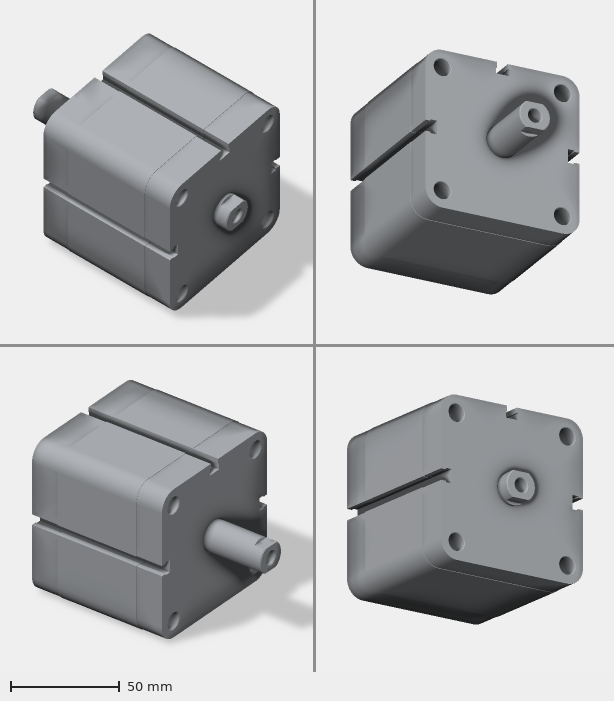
import cadquery as cq
import math

overall_length = 115.0
cap_length = 14.7
barrel_length = 45.5
front_rod_projection = 32.5

rod_start = -overall_length / 2
front_cap_start = rod_start + front_rod_projection
barrel_start = front_cap_start + cap_length
barrel_center = barrel_start + barrel_length / 2

barrel_width = 80.0
barrel_corner_radius = 9.0
cap_inset = 0.2
cap_width = barrel_width - 2 * cap_inset
cap_corner_radius = barrel_corner_radius - cap_inset

slot_mouth_width = 5.2
slot_undercut_width = 6.5
slot_lip_depth = 3.0
slot_depth = 6.0
cap_slot_clearance = 0.17
slot_angles = (0, 90, -90)

bolt_offset = 31.0
bolt_hole_diameter = 8.5
cap_hole_chamfer = 0.3

rod_diameter = 16.0
rod_radius = rod_diameter / 2
rod_chamfer = 0.5
flat_spacing = 13.0
flat_length = 6.0
flat_wall_run = 0.3
rod_hole_diameter = 6.8
rod_hole_chamfer = 0.5
rod_hole_depth = 17.2
drill_tip_angle = 118
rod_hole_tip_length = rod_hole_diameter / 2 / math.tan(math.radians(drill_tip_angle / 2))


def square_block(start, length, width, corner_radius):
    """Square bar along X with rounded long edges."""
    bar = cq.Workplane("YZ", origin=(start, 0, 0)).rect(width, width).extrude(length)
    return bar.edges("|X").fillet(corner_radius)


def slot_cutters(start, length, clearance):
    """T-slot cutters for the top and both sides, enlarged by the clearance on every wall."""
    surface = barrel_width / 2
    floor = surface - slot_depth - clearance
    mouth_width = slot_mouth_width + 2 * clearance
    undercut_width = slot_undercut_width + 2 * clearance
    undercut_height = slot_depth - slot_lip_depth + 2 * clearance
    base = cq.Workplane("XY", origin=(start, 0, floor))
    mouth = base.box(length, mouth_width, surface - floor, centered=(False, True, False))
    undercut = base.box(length, undercut_width, undercut_height, centered=(False, True, False))
    slot = mouth.union(undercut)
    cutters = cq.Workplane("XY")
    for angle in slot_angles:
        cutters = cutters.add(slot.rotate((0, 0, 0), (1, 0, 0), angle))
    return cutters.combine()


def hole_cutter(start, length, diameter, chamfer, tip_length):
    """Round cutter on the X axis, flared at its -X end and pointed at its +X end."""
    radius = diameter / 2
    outline = (
        cq.Workplane("XY", origin=(start, 0, 0))
        .lineTo(0, radius + chamfer)
        .lineTo(chamfer, radius)
        .lineTo(length, radius)
        .lineTo(length + tip_length, 0)
        .close()
    )
    return outline.revolve(360, (0, 0, 0), (1, 0, 0))


def cylinder(start, length, diameter):
    """Round bar on the X axis."""
    return cq.Workplane("YZ", origin=(start, 0, 0)).circle(diameter / 2).extrude(length)


def cut_at_bolts(body, cutter):
    """Cut an X-axis cutter into the body at the four bolt positions."""
    for y in (-bolt_offset, bolt_offset):
        for z in (-bolt_offset, bolt_offset):
            body = body.cut(cutter.translate((0, y, z)))
    return body


def make_front_cap():
    """Cap with slots, bolt holes and a rod bore; all holes are chamfered at the -X face."""
    cap = square_block(front_cap_start, cap_length, cap_width, cap_corner_radius)
    cap = cap.cut(slot_cutters(front_cap_start, cap_length, cap_slot_clearance))
    bolt_hole = hole_cutter(front_cap_start, cap_length, bolt_hole_diameter, cap_hole_chamfer, 0)
    cap = cut_at_bolts(cap, bolt_hole)
    return cap.cut(hole_cutter(front_cap_start, cap_length, rod_diameter, cap_hole_chamfer, 0))


def make_barrel():
    """Middle section between the caps."""
    barrel = square_block(barrel_start, barrel_length, barrel_width, barrel_corner_radius)
    barrel = barrel.cut(slot_cutters(barrel_start, barrel_length, 0))
    barrel = cut_at_bolts(barrel, cylinder(barrel_start, barrel_length, bolt_hole_diameter))
    return barrel.cut(cylinder(barrel_start, barrel_length, rod_diameter))


def flat_cutter():
    """Cutter for the upper spanner flat at the rod's -X end, with a sloped end wall."""
    flat_height = flat_spacing / 2
    return (
        cq.Workplane("XZ", origin=(rod_start, 0, 0))
        .moveTo(0, flat_height)
        .lineTo(flat_length, flat_height)
        .lineTo(flat_length + flat_wall_run, rod_radius)
        .lineTo(0, rod_radius)
        .close()
        .extrude(rod_radius, both=True)
    )


def make_rod():
    """Through rod with the same two flats and drilled hole at both ends."""
    rod = cylinder(rod_start, overall_length, rod_diameter).faces("<X or >X").chamfer(rod_chamfer)
    upper_flat = flat_cutter()
    lower_flat = upper_flat.mirror("XY")
    hole = hole_cutter(
        rod_start, rod_hole_depth, rod_hole_diameter, rod_hole_chamfer, rod_hole_tip_length
    )
    for cutter in (upper_flat, lower_flat, hole):
        rod = rod.cut(cutter).cut(cutter.mirror("YZ"))
    return rod


front_cap = make_front_cap()
rear_cap = front_cap.mirror("YZ", (barrel_center, 0, 0))
barrel = make_barrel()
rod = make_rod()

bodies = (front_cap, rear_cap, barrel, rod)
result = cq.Compound.makeCompound([body.solids().val() for body in bodies])